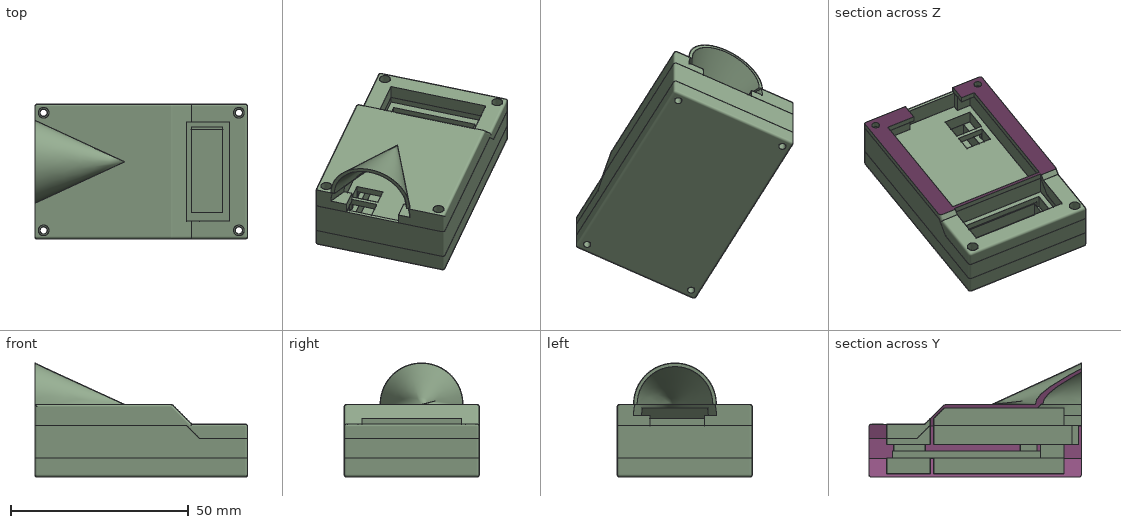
import cadquery as cq

length = 59.8
width = 37.95
top_height = 20.45
ledge_height = 14.95
ledge_start_x = 44.05
edge_radius = 0.7
wall = 1.0
ridge_x = ledge_start_x - (top_height - ledge_height)

base_height = 5.4
joint_high = 14.5
joint_low = 10.95
joint_step_x = 42.6
joint_step_end_x = joint_step_x + (joint_high - joint_low)

room_start_x = 4.95
room_end_x = 41.55
display_start_x = room_end_x + wall
display_end_x = 54.75
room_half_width = 13.9
slope_inner_end_z = 16.5
ceiling_z = top_height - wall

horn_radius = 11.65
horn_length = 25.2
horn_y = 2.75
horn_floor_z = 17.4

slot_min_y = -5.5
slot_max_y = 9.8
slot_lip = 0.9
middle_room_start_x = 2.65

shelf_top_z = 9.2
shelf_bottom_z = 7.35
opening_min_y = 4.55
opening_max_y = 12.5
first_opening_end_x = 11.55
second_opening_start_x = first_opening_end_x + wall
second_opening_end_x = 17.2
second_opening_max_y = 12.15
well_start_x = 44.0
well_end_x = 52.7
well_min_y = -11.5
chamber_end_x = 53.1
chamber_half_width = 11.9

base_recess_half_width = 10.45

screw_diameter = 2.0
screw_head_diameter = 3.0
screw_head_depth = 3.0
screw_inset = 2.45


def box(x0, x1, y0, y1, z0, z1):
    """Axis-aligned block between the given limits."""
    return cq.Workplane("XY").box(x1 - x0, y1 - y0, z1 - z0, centered=False).translate((x0, y0, z0))


def prism(points, half_width):
    """XZ outline extruded symmetrically about the XZ plane."""
    return cq.Workplane("XZ").polyline(points).close().extrude(half_width, both=True)


def half_cone(radius, cone_length, axis_z):
    """Upper half of a cone with its mouth on the front face and its tip pointing along +X."""
    return (
        cq.Workplane("XY")
        .polyline([(0, 0), (cone_length, 0), (0, radius)])
        .close()
        .revolve(180, (0, 0), (1, 0))
        .translate((0, horn_y, axis_z))
    )


def make_envelope():
    """Stepped outer block, rounded except at the slope foot and the top front edge."""
    outline = [
        (0, 0),
        (length, 0),
        (length, ledge_height),
        (ledge_start_x, ledge_height),
        (ridge_x, top_height),
        (0, top_height),
    ]
    block = prism(outline, width / 2)
    foot = block.edges(cq.selectors.NearestToPointSelector((ledge_start_x, 0, ledge_height)))
    front_top = block.edges(cq.selectors.NearestToPointSelector((0, 0, top_height)))
    sharp = [foot.val(), front_top.val()]
    rounded = [e for e in block.edges().vals() if not any(e.isSame(s) for s in sharp)]
    return block.newObject(rounded).fillet(edge_radius)


def make_screw_holes():
    """Four through holes with head counterbores sunk from the local top face."""
    holes = cq.Workplane("XY")
    for x, face_z in ((screw_inset, top_height), (length - screw_inset, ledge_height)):
        for y in (screw_inset - width / 2, width / 2 - screw_inset):
            shank = cq.Workplane("XY").center(x, y).circle(screw_diameter / 2).extrude(face_z)
            head = (
                cq.Workplane("XY", origin=(x, y, face_z - screw_head_depth))
                .circle(screw_head_diameter / 2)
                .extrude(screw_head_depth)
            )
            holes = holes.add(shank.union(head))
    return holes.combine()


def make_upper_space():
    """Everything above the stepped joint between the middle body and the lid."""
    joint = [
        (0, joint_high),
        (joint_step_x, joint_high),
        (joint_step_end_x, joint_low),
        (length, joint_low),
        (length, top_height),
        (0, top_height),
    ]
    return prism(joint, width / 2)


envelope = make_envelope()
screw_holes = make_screw_holes()
upper_space = make_upper_space()
lower_space = box(0, length, -width / 2, width / 2, 0, base_height)
display_window = box(
    display_start_x, display_end_x, -room_half_width, room_half_width, shelf_top_z, top_height
)


def make_base():
    base = envelope.intersect(lower_space).cut(screw_holes)
    main_recess = box(
        room_start_x, room_end_x, -base_recess_half_width, base_recess_half_width, wall, base_height
    )
    display_recess = box(
        display_start_x, display_end_x, -chamber_half_width, chamber_half_width, wall, base_height
    )
    return base.cut(main_recess).cut(display_recess)


def make_middle():
    middle = envelope.cut(lower_space).cut(upper_space).cut(screw_holes)

    room = box(
        middle_room_start_x, room_end_x, -room_half_width, room_half_width, shelf_top_z, joint_high
    )
    slot = box(slot_lip, middle_room_start_x, slot_min_y, slot_max_y, shelf_top_z, joint_high)
    middle = middle.cut(room).cut(slot).cut(display_window)

    for x0, x1, y0, y1 in (
        (room_start_x, first_opening_end_x, opening_min_y, opening_max_y),
        (second_opening_start_x, second_opening_end_x, opening_min_y, second_opening_max_y),
        (well_start_x, well_end_x, well_min_y, opening_max_y),
    ):
        middle = middle.cut(box(x0, x1, y0, y1, base_height, shelf_top_z))

    chamber = box(
        first_opening_end_x,
        chamber_end_x,
        -chamber_half_width,
        chamber_half_width,
        base_height,
        shelf_bottom_z,
    )
    return middle.cut(chamber)


def make_lid():
    lid = envelope.intersect(upper_space).cut(screw_holes).cut(display_window)

    room = box(room_start_x, room_end_x, -room_half_width, room_half_width, joint_low, top_height)
    room_below_roof = prism(
        [
            (room_start_x, joint_low),
            (room_end_x, joint_low),
            (room_end_x, slope_inner_end_z),
            (room_end_x - (ceiling_z - slope_inner_end_z), ceiling_z),
            (room_start_x, ceiling_z),
        ],
        room_half_width,
    )
    roof = envelope.intersect(room).cut(room_below_roof)
    lid = lid.cut(room).union(roof, clean=False)

    lid = lid.cut(half_cone(horn_radius, horn_length, horn_floor_z), clean=False)
    slot = box(0, room_start_x, slot_min_y, slot_max_y, joint_high, horn_floor_z)
    lid = lid.cut(slot, clean=False)

    inner_scale = (horn_radius - wall) / horn_radius
    horn = half_cone(horn_radius, horn_length, top_height).cut(
        half_cone(horn_radius * inner_scale, horn_length * inner_scale, top_height)
    )
    return lid.union(horn, clean=False)


base = make_base()
middle = make_middle()
lid = make_lid()

result = cq.Compound.makeCompound([base.solids().val(), middle.solids().val(), lid.solids().val()])